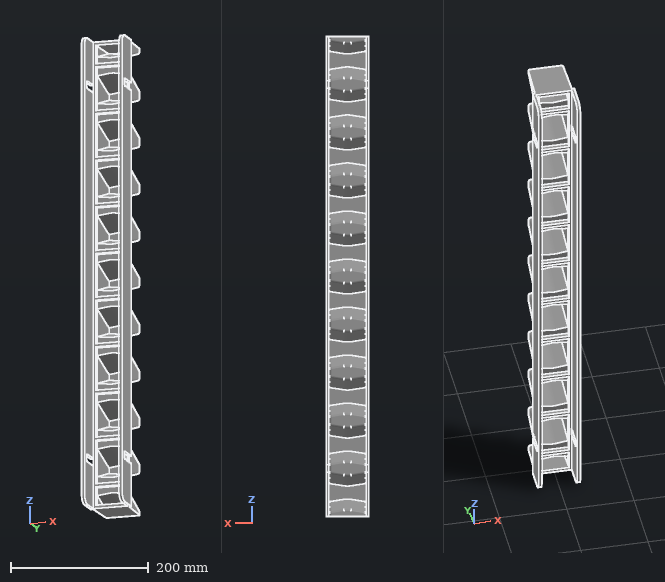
import cadquery as cq

LENGTH = 698.5
DEPTH = 101.0
WIDTH = 62.0

LEG_THICKNESS = 5.0
LEG_GAP = WIDTH - 2 * LEG_THICKNESS
LEG_DEPTH = 44.0
LEG_CORNER_RADIUS = 13.0

SLOT_WIDTH = 11.0
SLOT_START = 10.5
SLOT_CORNER_RADIUS = 3.5

BODY_WIDTH = 55.0
BODY_FRONT = 40.0
BODY_BACK = 49.5
FLOOR_THICKNESS = 3.0

PITCH = 70.0
INTERVALS = round(LENGTH / PITCH)
TOOTH_TIP_WIDTH = 52.0
ROOT_HALF_HEIGHT = 24.5
TIP_HALF_HEIGHT = 7.0
RIDGE_RISE = 4.0
RIDGE_RADIUS = 35.0
TOOTH_EDGE_RADIUS = 3.5

BAY_WIDTH = 45.0
WEB_THICKNESS = 5.0
END_WALL = 5.0
CAVITY_TIP_WIDTH = 41.0
CAVITY_ROOT_HALF_HEIGHT = 23.0
CAVITY_TIP_HALF_HEIGHT = 4.0
CAVITY_RIDGE_RISE = 3.0
TIP_WALL = 3.5

SELECT_MARGIN = 1.0


def box(width, y_start, y_end, z_start, z_end):
    """Box centred on X between the given Y and Z limits."""
    size = (width, y_end - y_start, z_end - z_start)
    return cq.Workplane("XY").box(*size, centered=(True, False, False)).translate((0, y_start, z_start))


def hexagon(workplane, width, half_height, rise):
    """Section of a tooth: upright sides, with a peak above and below at X = 0."""
    half = width / 2
    peak = half_height + rise
    return workplane.polyline([
        (-half, -half_height), (0, -peak), (half, -half_height),
        (half, half_height), (0, peak), (-half, half_height),
    ]).close()


def ridged_wedge(root_size, tip_size, y_tip, rise):
    """Wedge from the backbone to y_tip; its upper and lower slopes each have a rounded ridge.

    Each size is (width, half height of the sides).
    """
    root = hexagon(cq.Workplane("XZ", origin=(0, BODY_FRONT, 0)), *root_size, rise)
    wedge = hexagon(root.workplane(offset=BODY_FRONT - y_tip), *tip_size, rise).loft(ruled=True)
    ridges = cq.selectors.BoxSelector(
        (-SELECT_MARGIN, BODY_FRONT + SELECT_MARGIN, -PITCH),
        (SELECT_MARGIN, y_tip - SELECT_MARGIN, PITCH))
    return wedge.edges(ridges).fillet(RIDGE_RADIUS)


def legs():
    blank = box(WIDTH, 0, LEG_DEPTH, 0, LENGTH)
    blank = blank.edges("|X and <Y").fillet(LEG_CORNER_RADIUS)
    return blank.cut(box(LEG_GAP, 0, BODY_FRONT, 0, LENGTH))


def leg_slots():
    cutters = cq.Workplane("XY")
    for z in (PITCH, LENGTH - PITCH):
        slot = box(WIDTH, SLOT_START, LEG_DEPTH, z - SLOT_WIDTH / 2, z + SLOT_WIDTH / 2)
        cutters = cutters.add(slot.edges("|X and <Y").fillet(SLOT_CORNER_RADIUS))
    return cutters.combine().cut(box(LEG_GAP, 0, DEPTH, 0, LENGTH))


def backbone():
    """Drafted beam whose sides lie in the planes of the tooth sides."""
    draft = (BODY_WIDTH - TOOTH_TIP_WIDTH) / (DEPTH - BODY_FRONT)
    back_width = BODY_WIDTH - draft * (BODY_BACK - BODY_FRONT)
    outline = [
        (-BODY_WIDTH / 2, BODY_FRONT), (BODY_WIDTH / 2, BODY_FRONT),
        (back_width / 2, BODY_BACK), (-back_width / 2, BODY_BACK),
    ]
    return cq.Workplane("XY").polyline(outline).close().extrude(LENGTH)


def teeth():
    tooth = ridged_wedge(
        (BODY_WIDTH, ROOT_HALF_HEIGHT), (TOOTH_TIP_WIDTH, TIP_HALF_HEIGHT), DEPTH, RIDGE_RISE)
    tooth = tooth.faces("<X or >X or >Y").edges("not <Y").fillet(TOOTH_EDGE_RADIUS)
    row = cq.Workplane("XY")
    for i in range(INTERVALS + 1):
        row = row.add(tooth.translate((0, 0, i * PITCH)))
    return row.combine().intersect(box(WIDTH, 0, DEPTH, 0, LENGTH))


def hollows():
    reach = (PITCH - WEB_THICKNESS) / 2
    bay = box(BAY_WIDTH, BODY_FRONT, BODY_BACK - FLOOR_THICKNESS, -reach, reach)
    cavity = ridged_wedge(
        (BAY_WIDTH, CAVITY_ROOT_HALF_HEIGHT), (CAVITY_TIP_WIDTH, CAVITY_TIP_HALF_HEIGHT),
        DEPTH - TIP_WALL, CAVITY_RIDGE_RISE)
    hollow = bay.union(cavity)
    row = cq.Workplane("XY")
    for i in range(INTERVALS + 1):
        row = row.add(hollow.translate((0, 0, i * PITCH)))
    return row.combine().intersect(box(WIDTH, 0, DEPTH, END_WALL, LENGTH - END_WALL))


result = legs().union(backbone()).union(teeth()).cut(hollows()).cut(leg_slots())